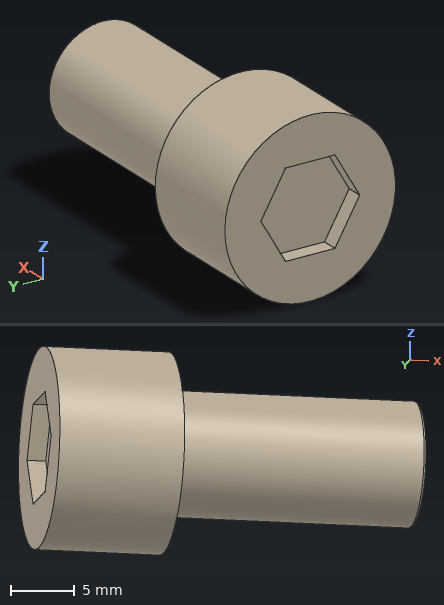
import cadquery as cq
import math

total_length = 30.0
head_length = 10.0
head_diameter = 16.0
shank_diameter = 10.0
tip_chamfer = 0.2

socket_across_flats = 8.0
socket_across_corners = socket_across_flats / math.cos(math.pi / 6)
socket_depth = 1.5


def cylinder_along_x(diameter, length):
    return cq.Workplane("YZ").circle(diameter / 2).extrude(length)


def hex_socket():
    return (
        cq.Workplane("YZ")
        .polygon(6, socket_across_corners)
        .extrude(socket_depth)
    )


head = cylinder_along_x(head_diameter, head_length)
shank = cylinder_along_x(shank_diameter, total_length).faces(">X").chamfer(tip_chamfer)

result = head.union(shank).cut(hex_socket())